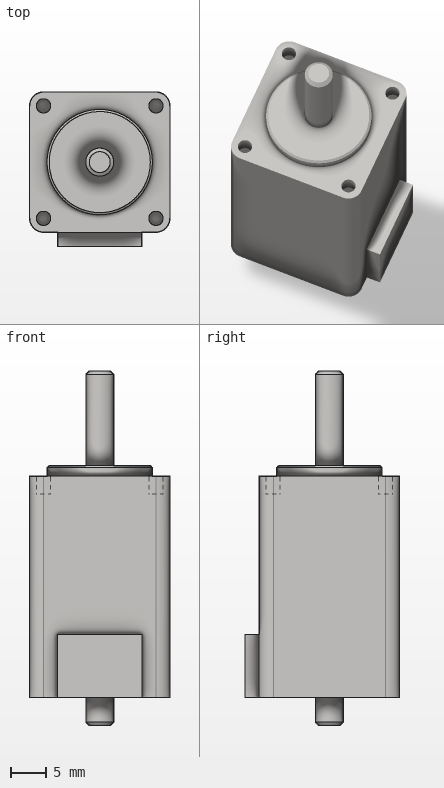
import cadquery as cq

total_height = 50.5
rear_shaft_length = 4.0
body_height = 31.5
boss_height = 1.5

body_width = 20.0
corner_radius = 2.0

boss_diameter = 15.0
boss_chamfer = 0.3
shaft_diameter = 4.0
shaft_chamfer = 0.5

hole_spacing = 16.0
hole_diameter = 2.0
hole_depth = 2.5

connector_width = 12.0
connector_height = 9.0
connector_projection = 2.0


def make_body():
    """Square body with rounded vertical corners, standing on Z = 0."""
    return (
        cq.Workplane("XY")
        .rect(body_width, body_width)
        .extrude(body_height)
        .edges("|Z")
        .fillet(corner_radius)
    )


def make_boss():
    """Pilot disc on the front face with a chamfered rim."""
    return (
        cq.Workplane("XY", origin=(0, 0, body_height))
        .circle(boss_diameter / 2)
        .extrude(boss_height)
        .faces(">Z")
        .chamfer(boss_chamfer)
    )


def make_shaft():
    """Shaft passing right through the motor, chamfered at both ends."""
    return (
        cq.Workplane("XY", origin=(0, 0, -rear_shaft_length))
        .circle(shaft_diameter / 2)
        .extrude(total_height)
        .faces("<Z or >Z")
        .chamfer(shaft_chamfer)
    )


def make_connector():
    """Plain block on the -Y side, flush with the rear face."""
    return cq.Workplane("XY", origin=(0, -body_width / 2, 0)).box(
        connector_width, 2 * connector_projection, connector_height, centered=(True, True, False)
    )


def make_mounting_holes():
    """Cutters for the four blind holes near the body corners."""
    return (
        cq.Workplane("XY", origin=(0, 0, body_height))
        .rect(hole_spacing, hole_spacing, forConstruction=True)
        .vertices()
        .circle(hole_diameter / 2)
        .extrude(-hole_depth)
    )


result = (
    make_body()
    .union(make_boss())
    .union(make_shaft())
    .union(make_connector())
    .cut(make_mounting_holes())
)